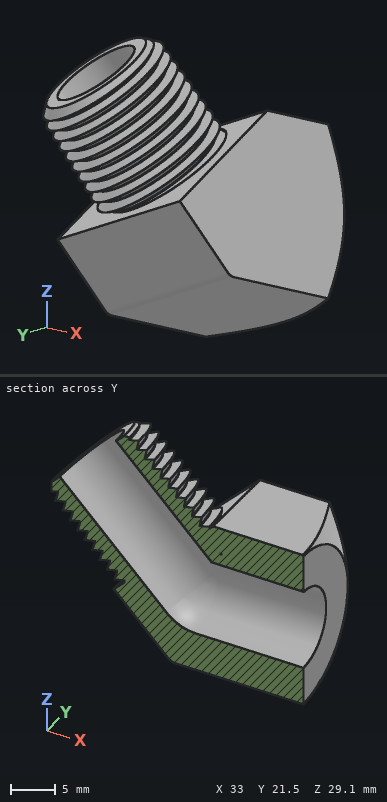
import cadquery as cq
import math


BLOCK_WIDTH = 21.54
BLOCK_HEIGHT = 20.55
PORT_FACE_X = 14.18
SHOULDER_DISTANCE = 5.6
HEEL_OFFSET = 9.5
HEEL_FILLET = 1.4

CHAMFER_FACE_RADIUS = 10.15
CHAMFER_ANGLE = 30.0

BEND_ANGLE = 45.0
TIP_DISTANCE = 19.84
TIP_FACE_RADIUS = 6.75
BORE_RADIUS = 5.2

THREADS_PER_INCH = 18
PITCH = 25.4 / THREADS_PER_INCH
THREAD_DEPTH = 0.8 * PITCH
TAPER_SLOPE = 1 / 32
CREST_RADIUS_AT_TIP = 8.08
FLANK_SLOPE = math.tan(math.radians(30))

SPIGOT_LENGTH = TIP_DISTANCE - SHOULDER_DISTANCE + PITCH


def crest_radius(depth):
    """Radius of the thread crests at a distance behind the tip face."""
    return CREST_RADIUS_AT_TIP + TAPER_SLOPE * depth


def block():
    """Bent prism with a shoulder, a sloping heel and a turned chamfer at the port end."""
    top = BLOCK_HEIGHT / 2
    diagonal = math.sqrt(2)
    shoulder_top_x = top - SHOULDER_DISTANCE * diagonal
    heel_x = -(SHOULDER_DISTANCE + HEEL_OFFSET) / diagonal
    heel_z = (SHOULDER_DISTANCE - HEEL_OFFSET) / diagonal
    heel_bottom_x = top - HEEL_OFFSET * diagonal
    prism = (
        cq.Workplane("XZ")
        .moveTo(PORT_FACE_X, -top)
        .lineTo(PORT_FACE_X, top)
        .lineTo(shoulder_top_x, top)
        .lineTo(heel_x, heel_z)
        .lineTo(heel_bottom_x, -top)
        .close()
        .extrude(BLOCK_WIDTH / 2, both=True)
    )
    heel_edge = cq.selectors.NearestToPointSelector((heel_bottom_x, 0, -top))
    return prism.edges(heel_edge).fillet(HEEL_FILLET).intersect(chamfer_envelope())


def chamfer_envelope():
    """Cone widening from the port end face, long enough to enclose the whole block."""
    length = PORT_FACE_X + SHOULDER_DISTANCE + HEEL_OFFSET
    back_radius = CHAMFER_FACE_RADIUS + length / math.tan(math.radians(CHAMFER_ANGLE))
    return (
        cq.Workplane("XY")
        .moveTo(PORT_FACE_X, 0)
        .lineTo(PORT_FACE_X, CHAMFER_FACE_RADIUS)
        .lineTo(PORT_FACE_X - length, back_radius)
        .lineTo(PORT_FACE_X - length, 0)
        .close()
        .revolve(360, (0, 0, 0), (1, 0, 0))
    )


def thread_groove():
    """Helical V groove running past both ends of the spigot."""
    start = -PITCH
    radius = crest_radius(start)
    outer = radius + THREAD_DEPTH / 2
    root = radius - THREAD_DEPTH
    flat_half_width = (PITCH / 2 - THREAD_DEPTH * FLANK_SLOPE) / 2
    mouth_half_width = flat_half_width + THREAD_DEPTH * FLANK_SLOPE
    helix = cq.Wire.makeHelix(
        PITCH,
        SPIGOT_LENGTH + 2 * PITCH,
        radius,
        center=cq.Vector(0, 0, start),
        angle=math.degrees(math.atan(TAPER_SLOPE)),
    )
    return (
        cq.Workplane("XZ")
        .moveTo(outer, start - mouth_half_width)
        .lineTo(radius, start - mouth_half_width)
        .lineTo(root, start - flat_half_width)
        .lineTo(root, start + flat_half_width)
        .lineTo(radius, start + mouth_half_width)
        .lineTo(outer, start + mouth_half_width)
        .close()
        .sweep(cq.Workplane(helix), isFrenet=True)
    )


def place_on_male_axis(shape):
    """Move a shape whose tip is at the origin and which runs along +Z onto the male port."""
    inward_turn = 180 - BEND_ANGLE
    return shape.translate((0, 0, -TIP_DISTANCE)).rotate((0, 0, 0), (0, 1, 0), inward_turn)


def spigot():
    """Threaded taper with a 45 degree chamfer at the tip."""
    chamfer_length = (CREST_RADIUS_AT_TIP - TIP_FACE_RADIUS) / (1 - TAPER_SLOPE)
    blank = (
        cq.Workplane("XZ")
        .lineTo(TIP_FACE_RADIUS, 0)
        .lineTo(crest_radius(chamfer_length), chamfer_length)
        .lineTo(crest_radius(SPIGOT_LENGTH), SPIGOT_LENGTH)
        .lineTo(0, SPIGOT_LENGTH)
        .close()
        .revolve(360, (0, 0, 0), (0, 1, 0))
    )
    return place_on_male_axis(blank.cut(thread_groove()))


def passage():
    """Constant bore following both port axes, rounded off by a ball where they cross."""
    male_bore = place_on_male_axis(cq.Workplane("XY").circle(BORE_RADIUS).extrude(TIP_DISTANCE))
    block_bore = cq.Workplane("YZ").circle(BORE_RADIUS).extrude(PORT_FACE_X)
    bend = cq.Workplane("XY").sphere(BORE_RADIUS)
    return male_bore.union(block_bore).union(bend)


result = block().union(spigot()).cut(passage())